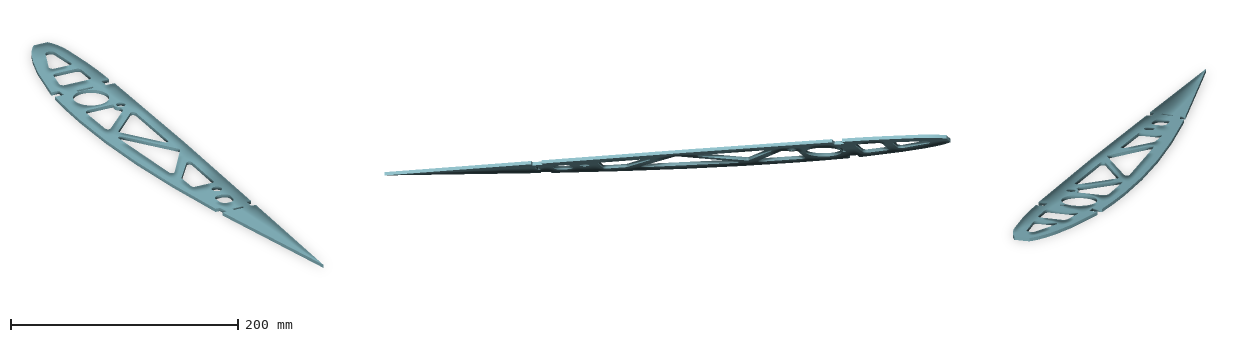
import cadquery as cq

length = 512.5
thickness = 3.0
half_height = 31.0

nose_top = 18.0
nose_bottom = 3.85
tail_y = 21.0

front_notch_left = 91.5
front_notch_right = 101.0
front_top_left_y = 30.5
front_top_floor = 22.5
front_bottom_left_y = -27.0
front_bottom_right_y = -28.0
front_bottom_floor = -19.5

rear_notch_left = 368.0
rear_notch_right = 377.0
rear_top_y = 25.35
rear_top_floor = 21.0
rear_bottom_left_y = -9.5
rear_bottom_right_y = -7.5
rear_bottom_depth = 4.0

slit_width = 2.8
front_slit_top = 10.0
front_slit_bottom = -5.5
rear_slit_top = 14.0
rear_slit_bottom = 3.5

tube_hole = (117.5, -1.0, 16.0)
front_pin_hole = (142.0, 15.5, 4.0)
rear_pin_hole = (332.5, 10.0, 4.5)
pin_wall = 2.3

corner_radius = 2.5
hole_pocket_radius = 5.5
pin_pocket_left_radius = 5.0
nose_corner_radius = 3.5
nose_pocket = [(17.5, 13.5), (50.0, 17.0), (50.0, -7.0), (17.5, 6.0)]
square_pocket = [(59.5, 18.0), (84.0, 18.0), (84.0, -14.0), (59.5, -8.5)]
pin_pocket = [(138.5, 12.5), (152.5, 12.5), (185.0, -19.5), (138.5, -19.5)]
upper_truss_pocket = [(156.0, 19.5), (233.5, 18.0), (189.5, -13.0)]
lower_truss_pocket = [(246.5, 19.5), (291.0, -11.0), (192.0, -19.0)]
rear_truss_pocket = [(266.5, 16.5), (319.5, 15.0), (319.5, -7.0), (298.5, -7.0)]
rear_pocket = [(345.0, 15.0), (361.5, 13.5), (361.5, 0.5), (345.0, -1.0)]


def make_profile():
    """Aerofoil outline, clockwise from the nose, extruded to the sheet thickness."""
    outline = (
        cq.Workplane("XY")
        .moveTo(0, nose_bottom)
        .lineTo(0, nose_top)
        .spline(
            [(14.0, 24.0), (33.5, 27.0), (61.5, 29.5), (front_notch_left, front_top_left_y)],
            includeCurrent=True,
        )
        .lineTo(front_notch_left, front_top_floor)
        .lineTo(front_notch_right, front_top_floor)
        .lineTo(front_notch_right, half_height)
        .spline([(143.5, 30.5), (239.5, 29.0), (rear_notch_left, rear_top_y)], includeCurrent=True)
        .lineTo(rear_notch_left, rear_top_floor)
        .lineTo(rear_notch_right, rear_top_floor)
        .lineTo(rear_notch_right, rear_top_y)
        .lineTo(length, tail_y)
        .lineTo(rear_notch_right, rear_bottom_right_y)
        .lineTo(rear_notch_right, rear_bottom_right_y + rear_bottom_depth)
        .lineTo(rear_notch_left, rear_bottom_left_y + rear_bottom_depth)
        .lineTo(rear_notch_left, rear_bottom_left_y)
        .spline(
            [
                (291.5, -22.0),
                (211.5, -29.5),
                (158.5, -half_height),
                (front_notch_right, front_bottom_right_y),
            ],
            includeCurrent=True,
        )
        .lineTo(front_notch_right, front_bottom_floor)
        .lineTo(front_notch_left, front_bottom_floor)
        .lineTo(front_notch_left, front_bottom_left_y)
        .spline([(59.0, -20.5), (23.0, -9.5), (7.5, -2.0), (0, nose_bottom)], includeCurrent=True)
        .close()
    )
    return outline.extrude(thickness)


def make_cylinder(x, y, radius):
    return cq.Workplane("XY").center(x, y).circle(radius).extrude(thickness)


def make_pocket(corners, radius=corner_radius):
    return cq.Workplane("XY").polyline(corners).close().extrude(thickness).edges("|Z").fillet(radius)


def make_pin_pocket():
    """Truss opening with larger corners on its left wall, set back from the pin hole."""
    opening = cq.Workplane("XY").polyline(pin_pocket).close().extrude(thickness)
    opening = opening.edges("|Z and (not <X)").fillet(corner_radius)
    opening = opening.edges("|Z and <X").fillet(pin_pocket_left_radius)
    pin_x, pin_y, pin_radius = front_pin_hole
    return opening.cut(make_cylinder(pin_x, pin_y, pin_radius + pin_wall))


def make_slit(right, top, bottom):
    return (
        cq.Workplane("XY")
        .moveTo(right - slit_width, bottom)
        .rect(slit_width, top - bottom, centered=False)
        .extrude(thickness)
    )


result = make_profile()

for pocket_corners in (nose_pocket, square_pocket):
    result = result.cut(make_pocket(pocket_corners, nose_corner_radius))
for pocket_corners in (upper_truss_pocket, lower_truss_pocket, rear_truss_pocket):
    result = result.cut(make_pocket(pocket_corners))
result = result.cut(make_pocket(rear_pocket, hole_pocket_radius))

result = result.cut(make_pin_pocket())

for hole in (tube_hole, front_pin_hole, rear_pin_hole):
    result = result.cut(make_cylinder(*hole))

result = result.cut(make_slit(front_notch_right, front_slit_top, front_slit_bottom))
result = result.cut(make_slit(rear_notch_right, rear_slit_top, rear_slit_bottom))